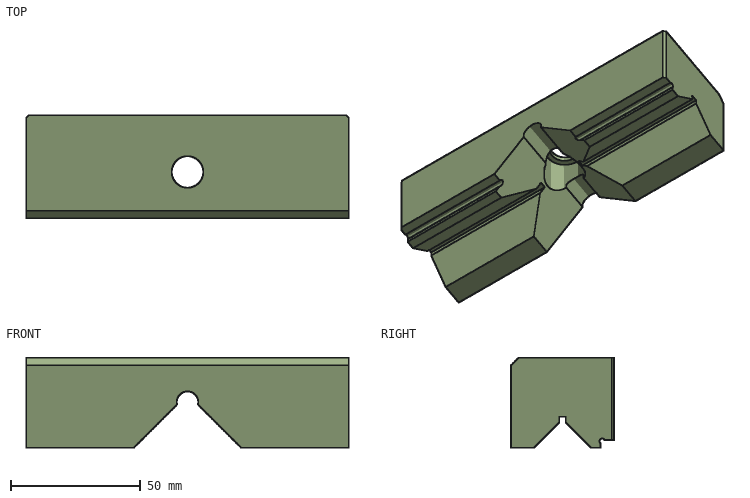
import cadquery as cq

length = 125.0
width = 40.0
height = 35.0
front_chamfer = 3.0
back_corner_chamfer = 1.0

cross_vee_width = 41.8
cross_relief_radius = 4.1
cross_relief_height = 17.8

long_vee_width = 22.1
long_slot_width = 2.5
long_slot_height = 12.0

step_depth = 5.2
step_height = 3.0
undercut_radius = 1.0
undercut_outset = 0.6
undercut_drop = 0.4

hole_diameter = 12.1
hole_y = -2.0
counterbore_diameter = 16.0
lip_thickness = 2.5


def block():
    """Base block centred on X and Y, standing on Z = 0, with its chamfers."""
    body = cq.Workplane("XY").box(length, width, height, centered=(True, True, False))
    body = body.edges("|X and <Y and >Z").chamfer(front_chamfer)
    return body.edges("|Z and >Y").chamfer(back_corner_chamfer)


def vee(plane, base_width, run):
    """Right-angled V prism whose open base lies on Z = 0, centred on the plane's origin."""
    half_base = base_width / 2
    outline = [(-half_base, 0), (half_base, 0), (0, half_base)]
    return cq.Workplane(plane).polyline(outline).close().extrude(run / 2, both=True)


def cross_groove():
    relief = (
        cq.Workplane("XZ")
        .center(0, cross_relief_height)
        .circle(cross_relief_radius)
        .extrude(width / 2, both=True)
    )
    return vee("XZ", cross_vee_width, width).union(relief)


def long_groove():
    slot = cq.Workplane("XY").box(
        length, long_slot_width, long_slot_height, centered=(True, True, False)
    )
    return vee("YZ", long_vee_width, length).union(slot)


def back_step():
    wall_y = width / 2 - step_depth
    step = (
        cq.Workplane("YZ")
        .rect(2 * step_depth, 2 * step_height)
        .extrude(length / 2, both=True)
        .translate((0, width / 2, 0))
    )
    undercut = (
        cq.Workplane("YZ")
        .center(wall_y + undercut_outset, step_height - undercut_drop)
        .circle(undercut_radius)
        .extrude(length / 2, both=True)
    )
    return step.union(undercut)


def counterbored_hole():
    axis = cq.Workplane("XY").center(0, hole_y)
    through = axis.circle(hole_diameter / 2).extrude(height)
    counterbore = axis.circle(counterbore_diameter / 2).extrude(height - lip_thickness)
    return through.union(counterbore)


result = (
    block()
    .cut(cross_groove())
    .cut(long_groove())
    .cut(back_step())
    .cut(counterbored_hole())
)